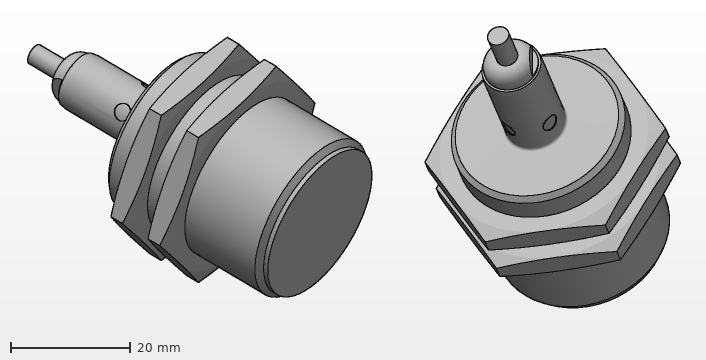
import cadquery as cq
import math


cable_radius = 3.7 / 2

gland_start = 6.32
gland_radius = 9.4 / 2
gland_round = 2.4
gland_round_end = gland_start + gland_round
gland_flat_offset = 3.75
gland_flat_end = 8.95

shank_start = 9.3
shank_radius = 10.5 / 2
shank_tip_radius = 5.1
shank_taper_end = 10.4
shank_round = 0.5

window_radius = 3 / 2
window_count = 4
window_x = 21.85
window_depth = 0.2

barrel_radius = 30 / 2
front_bevel = 1.04
rear_face_inner_x = 26.55
rear_face_outer_x = 27.25
rear_bevel = 0.9
rear_face_radius = barrel_radius - rear_bevel
barrel_rear_x = rear_face_outer_x + rear_bevel
overall_length = 61.37
front_lip_length = 0.88
front_lip_radius = barrel_radius - front_bevel
front_lip_x = overall_length - front_lip_length
barrel_front_x = front_lip_x - front_bevel

nut_across_flats = 36
nut_thickness = 4
nut_pitch = 8
nut_count = 2
first_nut_start = 32.37
nut_chamfer_angle = math.radians(15)


def make_sensor():
    """Cable, gland, shank and barrel, revolved as one solid and then cut."""
    arc_offset = gland_round * math.sqrt(0.5)
    shoulder_round_end = shank_radius + shank_round
    round_offset = shank_round * (1 - math.sqrt(0.5))
    profile = (
        cq.Workplane("XY")
        .moveTo(0, 0)
        .lineTo(0, cable_radius)
        .lineTo(gland_start, cable_radius)
        .lineTo(gland_start, gland_radius - gland_round)
        .threePointArc(
            (gland_round_end - arc_offset, gland_radius - gland_round + arc_offset),
            (gland_round_end, gland_radius),
        )
        .lineTo(shank_start, gland_radius)
        .lineTo(shank_start, shank_tip_radius)
        .lineTo(shank_taper_end, shank_radius)
        .lineTo(rear_face_inner_x - shank_round, shank_radius)
        .threePointArc(
            (rear_face_inner_x - round_offset, shank_radius + round_offset),
            (rear_face_inner_x, shoulder_round_end),
        )
        .lineTo(rear_face_outer_x, rear_face_radius)
        .lineTo(barrel_rear_x, barrel_radius)
        .lineTo(barrel_front_x, barrel_radius)
        .lineTo(front_lip_x, front_lip_radius)
        .lineTo(overall_length, front_lip_radius)
        .lineTo(overall_length, 0)
        .close()
    )
    sensor = profile.revolve(360, (0, 0, 0), (1, 0, 0))
    sensor = sensor.cut(make_gland_flat_cutter())
    for index in range(window_count):
        sensor = sensor.cut(make_window_cutter((index + 0.5) * 360 / window_count))
    return sensor


def make_gland_flat_cutter():
    """Block that takes the gland down to its flat on the -Y side."""
    return cq.Workplane("XY").box(
        gland_flat_end - gland_start,
        gland_radius,
        2 * gland_radius,
        centered=(False, False, True),
    ).translate((gland_start, -gland_flat_offset - gland_radius, 0))


def make_window_cutter(angle):
    """Radial cylinder, hollowed by the round window floor, turned about the X axis."""
    floor = (
        cq.Workplane("YZ", origin=(window_x - 2 * window_radius, 0, 0))
        .circle(shank_radius - window_depth)
        .extrude(4 * window_radius)
    )
    return (
        cq.Workplane("XY", origin=(window_x, 0, 0))
        .circle(window_radius)
        .extrude(2 * shank_radius)
        .cut(floor)
        .rotate((0, 0, 0), (1, 0, 0), angle)
    )


def make_nut(start):
    """Hexagon nut with its corners chamfered on both faces."""
    flat_radius = nut_across_flats / 2
    corner_radius = flat_radius / math.cos(math.pi / 6)
    corner_chamfer = (corner_radius - flat_radius) * math.tan(nut_chamfer_angle)
    hexagon = (
        cq.Workplane("YZ", origin=(start, 0, 0))
        .polygon(6, 2 * corner_radius)
        .extrude(nut_thickness)
    )
    end = start + nut_thickness
    envelope = (
        cq.Workplane("XY")
        .moveTo(start, barrel_radius)
        .lineTo(start, flat_radius)
        .lineTo(start + corner_chamfer, corner_radius)
        .lineTo(end - corner_chamfer, corner_radius)
        .lineTo(end, flat_radius)
        .lineTo(end, barrel_radius)
        .close()
        .revolve(360, (0, 0, 0), (1, 0, 0))
    )
    return hexagon.intersect(envelope)


sensor = make_sensor()
nuts = [make_nut(first_nut_start + index * nut_pitch) for index in range(nut_count)]

result = cq.Compound.makeCompound([sensor.val(), *[nut.val() for nut in nuts]])